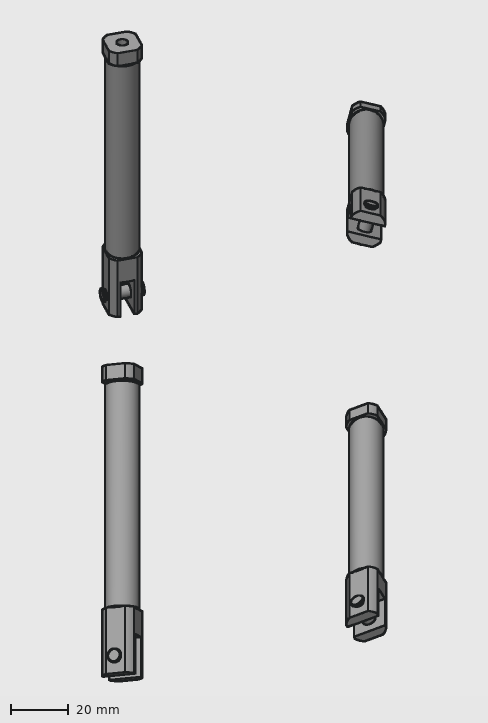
import cadquery as cq

total_length = 110.0
width = 12.0
corner_diameter = 14.0

block_height = 5.4
neck_height = 0.7
neck_diameter = 11.0
bore_diameter = 4.0
bore_depth = 11.0

clevis_height = 23.5
collar_height = 0.4
slot_width = 5.0
slot_depth = 14.1

pin_height = 6.0
pin_diameter = 4.8
pin_length = 15.0
groove_diameter = 3.7
head_thickness = 0.8
head_chamfer = 0.2


def cylinder(diameter, bottom, top):
    """Vertical cylinder on the rod axis between two heights."""
    return cq.Workplane("XY").workplane(offset=bottom).circle(diameter / 2).extrude(top - bottom)


def rounded_square(bottom, top):
    """Square bar whose corners are turned to the corner diameter."""
    height = top - bottom
    bar = cq.Workplane("XY").workplane(offset=bottom).rect(width, width).extrude(height)
    return bar.intersect(cylinder(corner_diameter, bottom, top))


def along_y(diameter, length):
    """Cylinder across the clevis, centred on the rod axis at pin height."""
    disc = cq.Workplane("XZ", origin=(0, length / 2, pin_height)).circle(diameter / 2)
    return disc.extrude(length)


def make_clevis():
    slot = cq.Workplane("XY").box(width, slot_width, slot_depth, centered=(True, True, False))
    return rounded_square(0, clevis_height).cut(slot)


def make_pin():
    """Pin body with a necked, chamfered head at each end."""
    neck = along_y(groove_diameter, pin_length - head_thickness)
    heads = along_y(pin_diameter, pin_length).faces("<Y or >Y").chamfer(head_chamfer)
    heads = heads.cut(along_y(pin_diameter, pin_length - 2 * head_thickness))
    return along_y(pin_diameter, width).union(neck).union(heads)


block_bottom = total_length - block_height
tube_top = block_bottom - neck_height
tube_bottom = clevis_height + collar_height

rod = make_clevis()
rod = rod.union(cylinder(neck_diameter, clevis_height, tube_bottom))
rod = rod.union(cylinder(width, tube_bottom, tube_top))
rod = rod.union(cylinder(neck_diameter, tube_top, block_bottom))
rod = rod.union(rounded_square(block_bottom, total_length))
rod = rod.cut(cylinder(bore_diameter, total_length - bore_depth, total_length))

result = rod.union(make_pin())